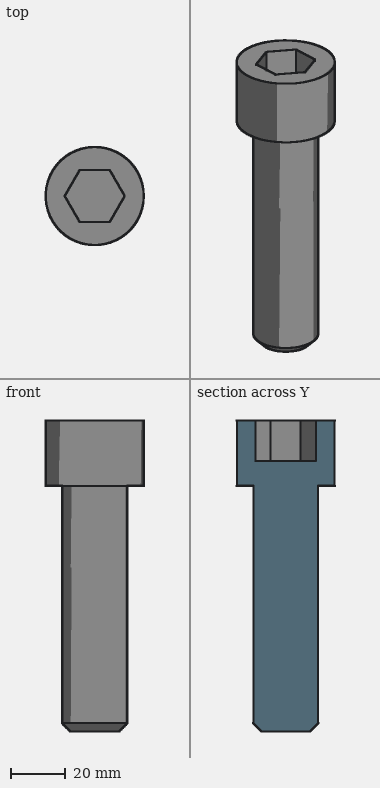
import cadquery as cq
import math

total_length = 114.0
head_diameter = 36.0
shank_diameter = 23.9
head_height = shank_diameter
thread_length = 60.0
tip_chamfer = 3.1
socket_across_flats = 19.0
socket_depth = 14.8

shank_length = total_length - head_height
socket_across_corners = socket_across_flats / math.cos(math.pi / 6)


def make_thread():
    """Threaded end as a plain cylinder with a chamfered tip."""
    thread = cq.Workplane("XY").circle(shank_diameter / 2).extrude(thread_length)
    return thread.faces("<Z").chamfer(tip_chamfer)


def make_plain_shank():
    """Unthreaded length between the thread and the head."""
    start = cq.Workplane("XY").workplane(offset=thread_length)
    return start.circle(shank_diameter / 2).extrude(shank_length - thread_length)


def make_head():
    """Cylindrical head with a hexagonal socket, corners on the X axis."""
    head = cq.Workplane("XY").workplane(offset=shank_length).circle(head_diameter / 2).extrude(head_height)
    return head.faces(">Z").workplane().polygon(6, socket_across_corners).cutBlind(-socket_depth)


result = make_thread().union(make_plain_shank(), clean=False).union(make_head(), clean=False)